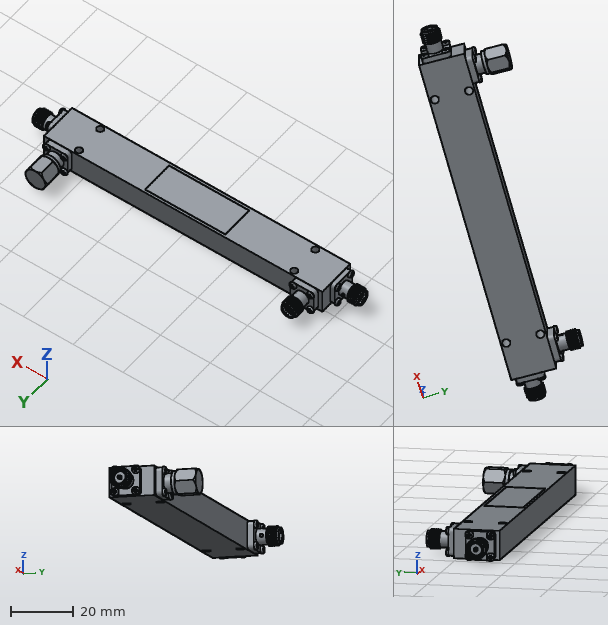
import cadquery as cq
import math

OVERALL_LENGTH = 130.8
OVERALL_WIDTH = 28.3
END_SOCKET_REACH = 9.5
HOUSING_LENGTH = OVERALL_LENGTH - 2 * END_SOCKET_REACH
HOUSING_WIDTH = 15.0
HOUSING_HEIGHT = 9.7

MOUNT_HOLE_DIAMETER = 2.6
MOUNT_HOLE_END_OFFSET = 12.7
MOUNT_HOLE_SIDE_OFFSET = 1.8

LABEL_LENGTH = 32.2
LABEL_WIDTH = 12.8
LABEL_DEPTH = 0.1

AXIS_HEIGHT = HOUSING_HEIGHT / 2
END_PORT_Y = 6.0
SIDE_PORT_END_OFFSET = 6.4
SIDE_PORT_X = HOUSING_LENGTH / 2 - SIDE_PORT_END_OFFSET

FLANGE_SIZE = 9.4
END_FLANGE_THICKNESS = 1.8
SIDE_FLANGE_THICKNESS = 2.2
FLANGE_CORNER_RADIUS = 1.5
SCREW_SPACING = 7.0
SCREW_HEAD_DIAMETER = 2.6
SCREW_HEAD_HEIGHT = 0.9
SCREW_HEAD_FILLET = 0.7
SCREW_RECESS_LENGTH = 1.5
SCREW_RECESS_WIDTH = 0.4
SCREW_RECESS_DEPTH = 0.4

SOCKET_LENGTH = END_SOCKET_REACH - END_FLANGE_THICKNESS
BARREL_DIAMETER = 5.4
THREAD_DIAMETER = 6.4
THREAD_PITCH = 0.7
THREAD_TURNS = 5
TIP_LENGTH = 0.8
THREAD_START = SOCKET_LENGTH - TIP_LENGTH - THREAD_TURNS * THREAD_PITCH
MOUTH_DIAMETER = 4.6
MOUTH_CHAMFER = 0.3
MOUTH_DEPTH = 1.3
BORE_DIAMETER = 4.0
BORE_DEPTH = 2.0
CONTACT_DIAMETER = 1.16
CONTACT_HOLE_DIAMETER = 0.9
CONTACT_RECESS = 0.8
PIN_HOLE_DIAMETER = 1.09
PIN_HOLE_DEPTH = 0.8
PIN_HOLE_TIP_OFFSET = 5.9

PLUG_LENGTH = OVERALL_WIDTH - HOUSING_WIDTH - SIDE_FLANGE_THICKNESS
PLUG_BARREL_DIAMETER = 6.4
COLLAR_DIAMETER = 7.7
COLLAR_LENGTH = 1.2
NUT_FLATS = 8.0
NUT_CORNERS = NUT_FLATS / math.cos(math.radians(30))
NUT_LENGTH = 7.2
NUT_CHAMFER = 0.7
NUT_TURN = 3


def rod(diameter, start, end):
    """Cylinder along +X between two stations."""
    return cq.Workplane("YZ", origin=(start, 0, 0)).circle(diameter / 2).extrude(end - start)


def screw_head():
    """Rounded screw head with a cross recess, standing on X = 0 and pointing along +X."""
    head = rod(SCREW_HEAD_DIAMETER, 0, SCREW_HEAD_HEIGHT).faces(">X").edges().fillet(SCREW_HEAD_FILLET)
    recess_floor = cq.Workplane("YZ", origin=(SCREW_HEAD_HEIGHT - SCREW_RECESS_DEPTH, 0, 0))
    for length, width in (
        (SCREW_RECESS_LENGTH, SCREW_RECESS_WIDTH),
        (SCREW_RECESS_WIDTH, SCREW_RECESS_LENGTH),
    ):
        head = head.cut(recess_floor.rect(length, width).extrude(SCREW_RECESS_DEPTH))
    return head


def flange(thickness):
    """Rounded square plate behind X = 0, with a screw head near each corner of its outer face."""
    plate = cq.Workplane("YZ").rect(FLANGE_SIZE, FLANGE_SIZE).extrude(-thickness)
    plate = plate.edges("|X").fillet(FLANGE_CORNER_RADIUS)
    head = screw_head()
    for side_y in (-1, 1):
        for side_z in (-1, 1):
            corner = (0, side_y * SCREW_SPACING / 2, side_z * SCREW_SPACING / 2)
            plate = plate.union(head.translate(corner))
    return plate


def threaded_barrel():
    """Barrel with V-shaped thread ridges and a plain tip."""
    root = BARREL_DIAMETER / 2
    crest = THREAD_DIAMETER / 2
    outline = cq.Workplane("XY").lineTo(0, root).lineTo(THREAD_START, root)
    for turn in range(THREAD_TURNS):
        ridge_start = THREAD_START + turn * THREAD_PITCH
        outline = outline.lineTo(ridge_start + THREAD_PITCH / 2, crest)
        outline = outline.lineTo(ridge_start + THREAD_PITCH, root)
    outline = outline.lineTo(SOCKET_LENGTH, root).lineTo(SOCKET_LENGTH, 0).close()
    return outline.revolve(360, (0, 0, 0), (1, 0, 0))


def mouth_bevel():
    """Conical cutter that widens the socket mouth at the tip."""
    return (
        cq.Workplane("YZ", origin=(SOCKET_LENGTH, 0, 0))
        .circle(MOUTH_DIAMETER / 2 + MOUTH_CHAMFER)
        .extrude(-MOUTH_CHAMFER, taper=45)
    )


def socket_connector(flange_thickness):
    """Flanged threaded socket along +X, with a small pin hole in the -Y side of its barrel."""
    bore_floor = SOCKET_LENGTH - BORE_DEPTH
    mouth = rod(MOUTH_DIAMETER, SOCKET_LENGTH - MOUTH_DEPTH, SOCKET_LENGTH).union(mouth_bevel())
    contact_end = SOCKET_LENGTH - CONTACT_RECESS
    pin_hole = (
        cq.Workplane("XZ", origin=(SOCKET_LENGTH - PIN_HOLE_TIP_OFFSET, -BARREL_DIAMETER / 2, 0))
        .circle(PIN_HOLE_DIAMETER / 2)
        .extrude(-PIN_HOLE_DEPTH)
    )
    return (
        threaded_barrel()
        .union(flange(flange_thickness))
        .cut(mouth)
        .cut(rod(BORE_DIAMETER, bore_floor, SOCKET_LENGTH))
        .union(rod(CONTACT_DIAMETER, bore_floor, contact_end))
        .cut(rod(CONTACT_HOLE_DIAMETER, bore_floor, contact_end))
        .cut(pin_hole)
    )


def coupling_nut():
    """Hexagonal nut along +X whose corners are turned off conically at both ends."""
    nut_start = PLUG_LENGTH - NUT_LENGTH
    hexagon = cq.Workplane("YZ", origin=(nut_start, 0, 0)).polygon(6, NUT_CORNERS).extrude(NUT_LENGTH)
    envelope = rod(NUT_CORNERS, nut_start, PLUG_LENGTH).faces("<X or >X").edges().chamfer(NUT_CHAMFER)
    return hexagon.intersect(envelope).rotate((0, 0, 0), (1, 0, 0), NUT_TURN)


def plug_connector():
    """Flanged plug along +X: barrel, collar and coupling nut."""
    nut_start = PLUG_LENGTH - NUT_LENGTH
    return (
        flange(SIDE_FLANGE_THICKNESS)
        .union(rod(PLUG_BARREL_DIAMETER, 0, nut_start))
        .union(rod(COLLAR_DIAMETER, nut_start - COLLAR_LENGTH, nut_start))
        .union(coupling_nut())
    )


def housing():
    """Bar with four through holes and a label panel sunk in its top face."""
    centre_y = HOUSING_WIDTH / 2
    bar = cq.Workplane("XY").box(HOUSING_LENGTH, HOUSING_WIDTH, HOUSING_HEIGHT, centered=(True, False, False))
    holes = (
        cq.Workplane("XY", origin=(0, centre_y, 0))
        .rect(
            HOUSING_LENGTH - 2 * MOUNT_HOLE_END_OFFSET,
            HOUSING_WIDTH - 2 * MOUNT_HOLE_SIDE_OFFSET,
            forConstruction=True,
        )
        .vertices()
        .circle(MOUNT_HOLE_DIAMETER / 2)
        .extrude(HOUSING_HEIGHT)
    )
    label = (
        cq.Workplane("XY", origin=(0, centre_y, HOUSING_HEIGHT))
        .rect(LABEL_LENGTH, LABEL_WIDTH)
        .extrude(-LABEL_DEPTH)
    )
    return bar.cut(holes).cut(label)


def place(connector, turn, x, y):
    """Turn a connector about Z and set its flange face at (x, y), at the connector axis height."""
    return connector.rotate((0, 0, 0), (0, 0, 1), turn).translate((x, y, AXIS_HEIGHT))


end_socket = socket_connector(END_FLANGE_THICKNESS)
side_socket = socket_connector(SIDE_FLANGE_THICKNESS)
end_flange_x = HOUSING_LENGTH / 2 + END_FLANGE_THICKNESS
side_flange_y = HOUSING_WIDTH + SIDE_FLANGE_THICKNESS

result = (
    housing()
    .union(place(end_socket, 0, end_flange_x, END_PORT_Y))
    .union(place(end_socket, 180, -end_flange_x, END_PORT_Y))
    .union(place(side_socket, 90, -SIDE_PORT_X, side_flange_y))
    .union(place(plug_connector(), 90, SIDE_PORT_X, side_flange_y))
)